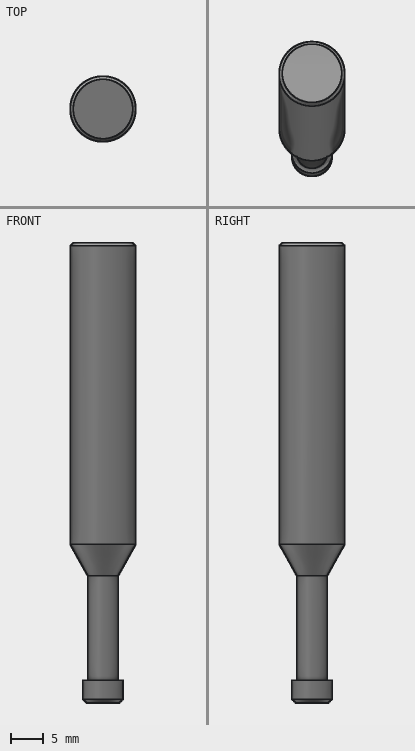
import cadquery as cq

total_length = 70.0
shank_radius = 5.005
shank_chamfer = 0.5
neck_diameter = 4.7
neck_radius = neck_diameter / 2
taper_start_z = 24.15
taper_end_z = 19.4

head_radius = 3.1
head_height = 3.5
head_chamfer = 0.6


def make_shank():
    """Revolve the shank, its taper and its neck as one solid standing on the head."""
    profile = [
        (0, head_height),
        (neck_radius, head_height),
        (neck_radius, taper_end_z),
        (shank_radius, taper_start_z),
        (shank_radius, total_length - shank_chamfer),
        (shank_radius - shank_chamfer, total_length),
        (0, total_length),
    ]
    return cq.Workplane("XZ").polyline(profile).close().revolve(360, (0, 0), (0, 1))


def make_head():
    """Disc with a chamfered lower rim, its top face touching the neck."""
    disc = cq.Workplane("XY").circle(head_radius).extrude(head_height)
    return disc.faces("<Z").chamfer(head_chamfer)


shank = make_shank()
head = make_head()

result = cq.Compound.makeCompound([shank.val(), head.val()])